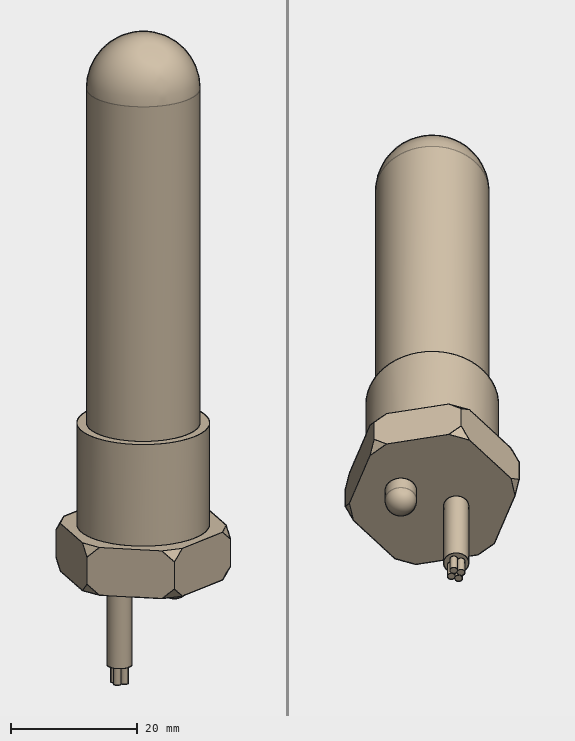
import cadquery as cq
import math

hex_corner_diameter = 28.0
hex_height = 8.0
corner_cut_depth = 1.0
corner_cut_height = corner_cut_depth * math.sqrt(3)

collar_diameter = 21.0
collar_height = 17.0
tube_diameter = 18.0
overall_top = 90.0

peg_diameter = 5.0
peg_length = 5.0
peg_y = 5.25

cable_diameter = 4.0
cable_length = 15.0
cable_y = -4.0
strand_diameter = 1.23
strand_length = 3.0
strand_overlap = 0.02

corner_radius = hex_corner_diameter / 2
hex_corner_count = 6


def round_nosed_pin(diameter, length):
    """Upright pin from Z = 0 whose upper end is a hemisphere."""
    radius = diameter / 2
    shoulder = length - radius
    bend = radius * math.sqrt(0.5)
    return (
        cq.Workplane("XZ")
        .lineTo(radius, 0)
        .lineTo(radius, shoulder)
        .threePointArc((bend, shoulder + bend), (0, length))
        .close()
        .revolve(360, (0, 0, 0), (0, 1, 0))
    )


def hex_base():
    """Hexagon with a sloped flat cut at the top and bottom of every corner."""
    base = cq.Workplane("XY").polygon(hex_corner_count, hex_corner_diameter).extrude(hex_height)
    wedge_width = corner_radius
    inner_radius = corner_radius - corner_cut_depth
    for end_z, direction in ((0, 1), (hex_height, -1)):
        wedge = (
            cq.Workplane("XZ")
            .moveTo(inner_radius, end_z)
            .lineTo(corner_radius, end_z)
            .lineTo(corner_radius, end_z + direction * corner_cut_height)
            .close()
            .extrude(wedge_width / 2, both=True)
        )
        for corner in range(hex_corner_count):
            angle = corner * 360 / hex_corner_count
            base = base.cut(wedge.rotate((0, 0, 0), (0, 0, 1), angle))
    return base


def collar():
    base_top = cq.Workplane("XY").workplane(offset=hex_height)
    return base_top.circle(collar_diameter / 2).extrude(collar_height)


def peg():
    pin = round_nosed_pin(peg_diameter, peg_length)
    return pin.rotate((0, 0, 0), (1, 0, 0), 180).translate((0, peg_y, 0))


def cable():
    """Insulated cable with a square bundle of bare strands at its end."""
    bundle = cq.Workplane("XY").center(0, cable_y).circle(cable_diameter / 2).extrude(-cable_length)
    offset = (strand_diameter - strand_overlap) / 2
    for x in (-offset, offset):
        for y in (cable_y - offset, cable_y + offset):
            strand = (
                cq.Workplane("XY", origin=(x, y, -cable_length))
                .circle(strand_diameter / 2)
                .extrude(-strand_length)
            )
            bundle = bundle.union(strand)
    return bundle


tube = round_nosed_pin(tube_diameter, overall_top)
result = hex_base().union(collar()).union(tube).union(peg()).union(cable())